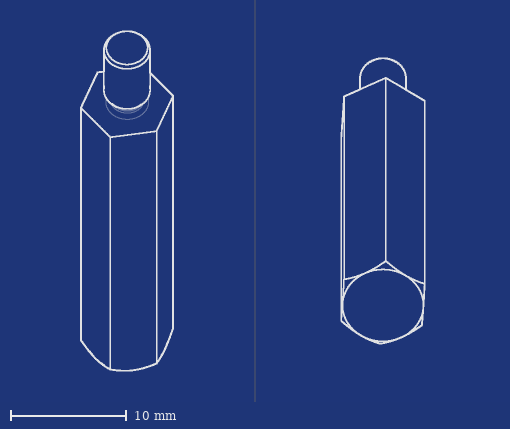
import cadquery as cq
import math

total_length = 43.0
stud_length = 8.0
body_length = total_length - stud_length

across_flats = 7.0
corner_radius = across_flats / math.sqrt(3)
foot_radius = across_flats / 2
foot_chamfer_height = 0.55

stud_radius = 4.0 / 2
tip_chamfer_height = 0.35
tip_chamfer_depth = 0.2
neck_radius = 2.92 / 2
groove_width = 1.7
groove_fillet = 0.4
taper_angle = math.radians(30)


def hex_body():
    """Hexagonal bar whose lower corners are turned to a cone."""
    bar = cq.Workplane("XY").polygon(6, 2 * corner_radius).extrude(body_length)
    turned_envelope = (
        cq.Workplane("XZ")
        .moveTo(0, 0)
        .lineTo(foot_radius, 0)
        .lineTo(corner_radius, foot_chamfer_height)
        .lineTo(corner_radius, body_length)
        .lineTo(0, body_length)
        .close()
        .revolve(360, (0, 0), (0, 1))
    )
    return bar.intersect(turned_envelope)


def stud():
    """Turned stud with a chamfered tip and a filleted relief groove at its root."""
    groove_top = body_length + groove_width
    fillet_center_radius = neck_radius + groove_fillet

    taper_end_radius = fillet_center_radius - groove_fillet * math.cos(taper_angle)
    taper_end = groove_top - (stud_radius - taper_end_radius) / math.tan(taper_angle)
    neck_top = taper_end - groove_fillet * math.sin(taper_angle)
    upper_mid_radius = fillet_center_radius - groove_fillet * math.cos(taper_angle / 2)
    upper_mid = neck_top + groove_fillet * math.sin(taper_angle / 2)

    neck_bottom = body_length + groove_fillet
    diagonal = groove_fillet * math.sqrt(0.5)

    return (
        cq.Workplane("XZ")
        .moveTo(0, body_length)
        .lineTo(fillet_center_radius, body_length)
        .threePointArc(
            (fillet_center_radius - diagonal, neck_bottom - diagonal),
            (neck_radius, neck_bottom),
        )
        .lineTo(neck_radius, neck_top)
        .threePointArc((upper_mid_radius, upper_mid), (taper_end_radius, taper_end))
        .lineTo(stud_radius, groove_top)
        .lineTo(stud_radius, total_length - tip_chamfer_height)
        .lineTo(stud_radius - tip_chamfer_depth, total_length)
        .lineTo(0, total_length)
        .close()
        .revolve(360, (0, 0), (0, 1))
    )


result = hex_body().union(stud())